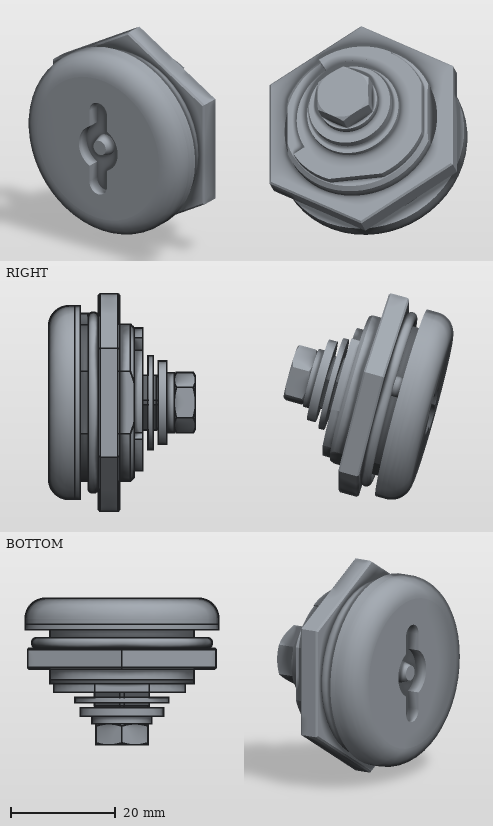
import cadquery as cq
import math


flange_front = 5.0
flange_back = 6.05
seal_front = 7.52
housing_back = 16.35
turn_plate_back = 18.0
loose_washer_front = 18.95
square_back = 20.9
bolt_washer_back = 22.57
bolt_head_front = 24.0
overall_length = 28.0

head_radius = 18.5
head_round = 4.0
shaft_radius = 11.5
turn_plate_radius = 14.0
turn_plate_flat_offset = 13.0
turn_range = 90
square_width = 8.02
square_turned_radius = 5.25
square_chamfer = 0.35

keyhole_depth = 2.5
keyhole_radius = 4.6
key_slot_width = 4.15
key_slot_length = 19.05
key_pin_radius = key_slot_width / 2
key_pin_tip_radius = 1.45
key_pin_recess = 0.45

barrel_radius = 15.0
barrel_flats = 27.5
barrel_chamfer = 0.75
stop_angle = 60
locating_post_radius = 2.0

seal_section_radius = 1.0
seal_outer_radius = 17.25
nut_across_corners = 41.55
nut_thickness = 4.05
nut_edge_chamfer = 0.35

loose_washer_radius = 8.98
loose_washer_thickness = 1.05
bolt_washer_radius = 8.0
bolt_collar_radius = 5.75
bolt_across_flats = 9.98
bolt_corner_chamfer_axial = 0.4
bolt_corner_chamfer_radial = 0.75

seal_back = seal_front + 2 * seal_section_radius


def plane_at(y):
    """Sketch plane facing -Y at the given station; sketch axes are X and Z."""
    return cq.Workplane("XZ", origin=(0, y, 0))


def disc(radius, y_front, y_back):
    """Cylinder on the lock axis."""
    return plane_at(y_front).circle(radius).extrude(y_front - y_back)


def hexagon(across_corners, y_front, y_back):
    """Hexagonal prism on the lock axis with corners at +Z and -Z."""
    return (
        plane_at(y_front)
        .transformed(rotate=(0, 0, 90))
        .polygon(6, across_corners)
        .extrude(y_front - y_back)
    )


def polar(radius, angle):
    """Sketch point at an angle measured from +X toward +Z, in degrees."""
    return (radius * math.cos(math.radians(angle)), radius * math.sin(math.radians(angle)))


def ring_sector(inner_radius, outer_radius, start_angle, end_angle, y_front, y_back):
    """Part of a ring between two angles on the lock axis."""
    middle_angle = (start_angle + end_angle) / 2
    return (
        plane_at(y_front)
        .moveTo(*polar(inner_radius, start_angle))
        .lineTo(*polar(outer_radius, start_angle))
        .threePointArc(polar(outer_radius, middle_angle), polar(outer_radius, end_angle))
        .lineTo(*polar(inner_radius, end_angle))
        .threePointArc(polar(inner_radius, middle_angle), polar(inner_radius, start_angle))
        .close()
        .extrude(y_front - y_back)
    )


def square_drive(y_front, y_back):
    """Square bar standing on its corner, with the corners turned round."""
    bar = (
        plane_at(y_front)
        .transformed(rotate=(0, 0, 45))
        .rect(square_width, square_width)
        .extrude(y_front - y_back)
    )
    return bar.intersect(disc(square_turned_radius, y_front, y_back))


def keyhole_pocket():
    """Round pocket with two opposed key slots, left open around the central pin."""
    pocket = disc(keyhole_radius, 0, keyhole_depth)
    slots = plane_at(0).slot2D(key_slot_length, key_slot_width, 90).extrude(-keyhole_depth)
    pin = (
        cq.Workplane("XY")
        .moveTo(0, key_pin_recess)
        .lineTo(key_pin_tip_radius, key_pin_recess)
        .lineTo(key_pin_radius, keyhole_depth)
        .lineTo(0, keyhole_depth)
        .close()
        .revolve(360, (0, 0, 0), (0, 1, 0))
    )
    return pocket.union(slots).cut(pin)


def turn_plate():
    """Sector that swings between the two sides of the housing stop, with two edge flats."""
    start_angle = 90 + stop_angle / 2
    end_angle = start_angle + 360 - stop_angle - turn_range
    sector = ring_sector(
        shaft_radius / 2, turn_plate_radius, start_angle, end_angle, housing_back, turn_plate_back
    )
    envelope_size = 2 * turn_plate_flat_offset
    envelope = (
        plane_at(housing_back)
        .rect(envelope_size, envelope_size)
        .extrude(housing_back - turn_plate_back)
    )
    return sector.intersect(envelope)


def make_core():
    head = disc(head_radius, 0, flange_front).faces("<Y").edges().fillet(head_round)
    shaft = disc(shaft_radius, flange_front, turn_plate_back)
    drive = square_drive(turn_plate_back, square_back).faces(">Y").chamfer(square_chamfer)
    return head.union(shaft).union(turn_plate()).union(drive).cut(keyhole_pocket())


def make_housing():
    flange = disc(head_radius, flange_front, flange_back)
    barrel = disc(barrel_radius, flange_back, housing_back).faces(">Y").chamfer(barrel_chamfer)
    stop = ring_sector(
        shaft_radius,
        barrel_radius - barrel_chamfer,
        90 - stop_angle / 2,
        90 + stop_angle / 2,
        housing_back,
        turn_plate_back,
    )
    flats = plane_at(flange_back).rect(barrel_flats, 2 * barrel_radius).extrude(flange_back - turn_plate_back)
    post = (
        plane_at(flange_back)
        .center(0, barrel_radius)
        .circle(locating_post_radius)
        .extrude(flange_back - seal_front)
    )
    bore = disc(shaft_radius, flange_front, turn_plate_back)
    return barrel.union(stop).intersect(flats).union(flange).union(post).cut(bore)


def make_seal_ring():
    ring_radius = seal_outer_radius - seal_section_radius
    return (
        cq.Workplane("XY")
        .moveTo(ring_radius, seal_front + seal_section_radius)
        .circle(seal_section_radius)
        .revolve(360, (0, 0, 0), (0, 1, 0))
    )


def make_nut():
    nut_back = seal_back + nut_thickness
    blank = hexagon(nut_across_corners, seal_back, nut_back)
    blank = blank.faces("<Y or >Y").chamfer(nut_edge_chamfer)
    return blank.cut(disc(barrel_radius, seal_back, nut_back))


def make_loose_washer():
    washer_back = loose_washer_front + loose_washer_thickness
    washer = disc(loose_washer_radius, loose_washer_front, washer_back)
    return washer.cut(square_drive(loose_washer_front, washer_back))


def make_bolt():
    """Bolt head with its collar and captive washer, seated on the end of the square."""
    washer = disc(bolt_washer_radius, square_back, bolt_washer_back)
    collar = disc(bolt_collar_radius, bolt_washer_back, bolt_head_front)
    across_corners = bolt_across_flats / math.cos(math.radians(30))
    head = hexagon(across_corners, bolt_head_front, overall_length)
    corner_turning = (
        disc(across_corners / 2, bolt_head_front, overall_length)
        .faces("<Y or >Y")
        .chamfer(bolt_corner_chamfer_axial, bolt_corner_chamfer_radial)
    )
    return washer.union(collar).union(head.intersect(corner_turning))


core = make_core()
housing = make_housing()
seal_ring = make_seal_ring()
nut = make_nut()
loose_washer = make_loose_washer()
bolt = make_bolt()

result = cq.Compound.makeCompound([
    core.val(),
    housing.val(),
    seal_ring.val(),
    nut.val(),
    loose_washer.val(),
    bolt.val(),
])